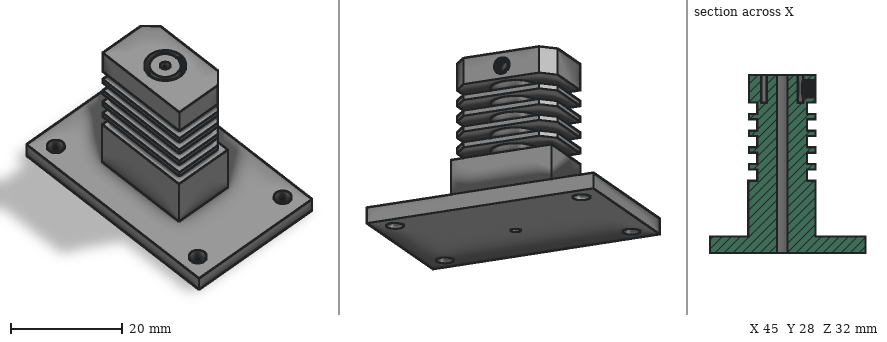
import cadquery as cq

base_length = 45.0
base_width = 28.0
base_thickness = 3.0
mount_hole_diameter = 3.2
mount_hole_spacing_x = 37.0
mount_hole_spacing_y = 21.0

axis_y = -1.0
body_length = 20.0
body_width = 12.0
block_extra_width = 0.1
corner_chamfer = 2.5

block_height = 10.0
fin_count = 4
fin_thickness = 1.0
fin_gap = 2.0
head_height = 5.0

core_diameter = 9.0
groove_outer_diameter = 7.5
groove_inner_diameter = 5.6
groove_depth = head_height
bore_diameter = 1.85

screw_minor_diameter = 2.53
screw_major_diameter = 3.09
screw_pitch = 0.5
screw_root_flat = screw_pitch / 8
screw_turns = 6

fin_pitch = fin_thickness + fin_gap
block_top = base_thickness + block_height
core_height = fin_count * fin_pitch + fin_gap
head_bottom = block_top + core_height
total_height = head_bottom + head_height
head_middle = head_bottom + head_height / 2
head_back_y = axis_y + body_width / 2


def make_base():
    """Mounting plate with a through hole near each corner."""
    plate = cq.Workplane("XY").rect(base_length, base_width).extrude(base_thickness)
    holes = (
        cq.Workplane("XY")
        .rect(mount_hole_spacing_x, mount_hole_spacing_y, forConstruction=True)
        .vertices()
        .circle(mount_hole_diameter / 2)
        .extrude(base_thickness)
    )
    return plate.cut(holes)


def make_block():
    """Plain rectangular block standing on the base plate."""
    return (
        cq.Workplane("XY", origin=(0, axis_y - block_extra_width / 2, base_thickness))
        .rect(body_length, body_width + block_extra_width)
        .extrude(block_height)
    )


def make_slab(bottom, thickness):
    """Rectangular slab with its two +Y vertical corners chamfered."""
    return (
        cq.Workplane("XY", origin=(0, axis_y, bottom))
        .rect(body_length, body_width)
        .extrude(thickness)
        .edges("|Z and >Y")
        .chamfer(corner_chamfer)
    )


def make_axial_cylinder(diameter, bottom, height):
    """Cylinder on the column axis."""
    return cq.Workplane("XY", origin=(0, axis_y, bottom)).circle(diameter / 2).extrude(height)


def make_groove():
    """Annular recess sunk into the top of the head, leaving a central post."""
    groove_bottom = total_height - groove_depth
    outer = make_axial_cylinder(groove_outer_diameter, groove_bottom, groove_depth)
    post = make_axial_cylinder(groove_inner_diameter, groove_bottom, groove_depth)
    return outer.cut(post)


def make_screw_hole():
    """Threaded hole along Y, from the head's +Y face into the annular groove."""
    minor_radius = screw_minor_diameter / 2
    major_radius = screw_major_diameter / 2
    inner_end = head_back_y - screw_turns * screw_pitch

    profile = cq.Workplane("XY", origin=(0, 0, head_middle))
    profile = profile.moveTo(0, inner_end).lineTo(minor_radius, inner_end)
    for index in range(screw_turns):
        ring_start = inner_end + index * screw_pitch
        ring_middle = ring_start + screw_pitch / 2
        profile = (
            profile.lineTo(major_radius, ring_middle - screw_root_flat / 2)
            .lineTo(major_radius, ring_middle + screw_root_flat / 2)
            .lineTo(minor_radius, ring_start + screw_pitch)
        )
    profile = profile.lineTo(0, head_back_y).close()
    return profile.revolve(360, (0, 0, 0), (0, 1, 0))


body = make_base().union(make_block())
body = body.union(make_axial_cylinder(core_diameter, block_top, core_height))
for index in range(fin_count):
    fin_bottom = block_top + fin_gap + index * fin_pitch
    body = body.union(make_slab(fin_bottom, fin_thickness))
body = body.union(make_slab(head_bottom, head_height))

body = body.cut(make_groove())
body = body.cut(make_screw_hole())
result = body.cut(make_axial_cylinder(bore_diameter, 0, total_height))